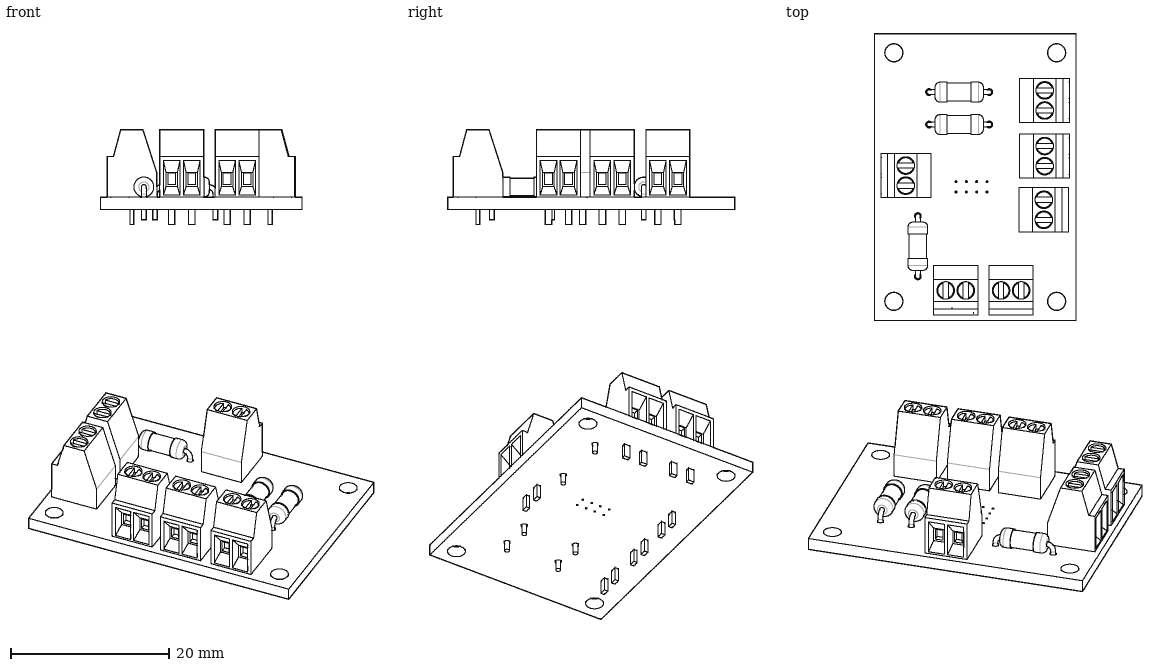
import cadquery as cq

BOARD_WIDTH = 25.5
BOARD_LENGTH = 36.25
BOARD_THICKNESS = 1.6
MOUNT_HOLE_DIAMETER = 2.25
MOUNT_HOLE_INSET_X = 2.45
MOUNT_HOLE_INSET_Y = 2.43
VIA_DIAMETER = 0.2
VIA_PITCH = 1.3
VIA_COLUMNS = 4
VIA_ROWS = 2
VIA_CENTRE = (-0.47, -1.25)

WAY_PITCH = 2.55
WAY_POSITIONS = (-WAY_PITCH / 2, WAY_PITCH / 2)
TERMINAL_WIDTH = 5.6
TERMINAL_DEPTH = 6.27
TERMINAL_HEIGHT = 8.52
TERMINAL_FRONT_Y = -3.1
LEDGE_HEIGHT = 5.15
LEDGE_DEPTH = 0.8
TOP_FRONT_DEPTH = 1.7
TOP_BACK_DEPTH = 4.53
BACK_WALL_HEIGHT = 3.1

FUNNEL_MOUTH_WIDTH = 2.1
FUNNEL_MOUTH_BOTTOM = 0.25
FUNNEL_MOUTH_TOP = 4.6
FUNNEL_END_WIDTH = 1.45
FUNNEL_END_BOTTOM = 1.3
FUNNEL_END_TOP = 3.1
FUNNEL_DEPTH = 1.15
WIRE_HOLE_WIDTH = 0.98
WIRE_HOLE_BOTTOM = 1.55
WIRE_HOLE_TOP = 3.0
WIRE_HOLE_DEPTH = 0.72

SCREW_HOLE_DIAMETER = 2.2
SCREW_DIAMETER = 2.0
SCREW_RECESS = 0.2
SCREW_SLOT_WIDTH = 0.65
SCREW_SLOT_DEPTH = 0.72

PIN_WIDTH = 0.85
PIN_THICKNESS = 0.5
PIN_LENGTH = 3.48

CAP_DIAMETER = 2.5
BARREL_DIAMETER = 2.25
RESISTOR_LENGTH = 6.1
CAP_LENGTH = 1.52
CAP_FILLET = 0.6
AXIS_HEIGHT = 1.27
LEAD_DIAMETER = 0.6
LEAD_HOLE_DIAMETER = 0.8
LEAD_SPAN = 7.6
LEAD_BEND_RADIUS = 0.87
LEAD_LENGTH_BELOW_BOARD = 1.3

EDGE_X = 8.77
TERMINAL_PLACES = [
    (-2.45, -14.32, 0),
    (4.53, -14.32, 0),
    (-EDGE_X, 0.18, -90),
    (EDGE_X, 9.68, 90),
    (EDGE_X, 2.65, 90),
    (EDGE_X - 0.1, -4.15, 90),
]
RESISTOR_PLACES = [
    (-2.03, 10.73, 0),
    (-2.03, 6.65, 0),
    (-7.25, -8.75, 90),
]


def place(shape, spot):
    """Turn a shape about Z and move it to its spot on the board."""
    x, y, turn = spot
    return shape.rotate((0, 0, 0), (0, 0, 1), turn).translate((x, y, 0))


def make_pins():
    """The two flat pins of a terminal, from the underside of its housing downward."""
    return (
        cq.Workplane("XY")
        .pushPoints([(x, 0) for x in WAY_POSITIONS])
        .rect(PIN_WIDTH, PIN_THICKNESS)
        .extrude(-PIN_LENGTH)
    )


def make_housing():
    """The stepped and sloped block of a terminal."""
    front = TERMINAL_FRONT_Y
    back = front + TERMINAL_DEPTH
    outline = [
        (front, 0),
        (front, LEDGE_HEIGHT),
        (front + LEDGE_DEPTH, LEDGE_HEIGHT),
        (front + TOP_FRONT_DEPTH, TERMINAL_HEIGHT),
        (front + TOP_BACK_DEPTH, TERMINAL_HEIGHT),
        (back, BACK_WALL_HEIGHT),
        (back, 0),
    ]
    return cq.Workplane("YZ").polyline(outline).close().extrude(TERMINAL_WIDTH / 2, both=True)


def make_wire_entry(x):
    """The cavity of one wire entry: a tapered funnel and the hole behind it."""
    mouth_height = FUNNEL_MOUTH_TOP - FUNNEL_MOUTH_BOTTOM
    end_height = FUNNEL_END_TOP - FUNNEL_END_BOTTOM
    mouth_middle = (FUNNEL_MOUTH_TOP + FUNNEL_MOUTH_BOTTOM) / 2
    end_middle = (FUNNEL_END_TOP + FUNNEL_END_BOTTOM) / 2
    funnel = (
        cq.Workplane("XZ", origin=(x, TERMINAL_FRONT_Y, mouth_middle))
        .rect(FUNNEL_MOUTH_WIDTH, mouth_height)
        .workplane(offset=-FUNNEL_DEPTH)
        .center(0, end_middle - mouth_middle)
        .rect(FUNNEL_END_WIDTH, end_height)
        .loft()
    )
    hole_middle = (WIRE_HOLE_TOP + WIRE_HOLE_BOTTOM) / 2
    hole = (
        cq.Workplane("XZ", origin=(x, TERMINAL_FRONT_Y + FUNNEL_DEPTH, hole_middle))
        .rect(WIRE_HOLE_WIDTH, WIRE_HOLE_TOP - WIRE_HOLE_BOTTOM)
        .extrude(-WIRE_HOLE_DEPTH)
    )
    return funnel.union(hole)


def make_screw_cut(x):
    """The cavity round one slotted screw head: its hole less the head itself."""
    slot_floor = SCREW_RECESS + SCREW_SLOT_DEPTH
    hole = (
        cq.Workplane("XY", origin=(x, 0, TERMINAL_HEIGHT))
        .circle(SCREW_HOLE_DIAMETER / 2)
        .extrude(-slot_floor)
    )
    head = (
        cq.Workplane("XY", origin=(x, 0, TERMINAL_HEIGHT - slot_floor))
        .circle(SCREW_DIAMETER / 2)
        .extrude(SCREW_SLOT_DEPTH)
    )
    slot = (
        cq.Workplane("XY", origin=(x, 0, TERMINAL_HEIGHT - slot_floor))
        .rect(SCREW_SLOT_WIDTH, SCREW_HOLE_DIAMETER)
        .extrude(SCREW_SLOT_DEPTH)
    )
    return hole.cut(head.cut(slot))


def make_terminal():
    """A two-way screw terminal with its pins, as one solid."""
    terminal = make_housing().union(make_pins())
    for x in WAY_POSITIONS:
        terminal = terminal.cut(make_wire_entry(x)).cut(make_screw_cut(x))
    return terminal


def make_resistor_body():
    """The barrel with a larger, rounded cap at each end."""
    barrel = (
        cq.Workplane("YZ", origin=(0, 0, AXIS_HEIGHT))
        .circle(BARREL_DIAMETER / 2)
        .extrude(RESISTOR_LENGTH / 2 - CAP_LENGTH, both=True)
    )
    cap = (
        cq.Workplane("YZ", origin=(RESISTOR_LENGTH / 2 - CAP_LENGTH, 0, AXIS_HEIGHT))
        .circle(CAP_DIAMETER / 2)
        .extrude(CAP_LENGTH)
        .faces(">X")
        .edges()
        .fillet(CAP_FILLET)
    )
    return barrel.union(cap).union(cap.mirror("YZ"))


def make_lead():
    """The lead at the +X end: out of the cap, round a bend and down through the board."""
    lead_x = LEAD_SPAN / 2
    bend_start_x = lead_x - LEAD_BEND_RADIUS
    inner_x = bend_start_x - LEAD_DIAMETER
    path = (
        cq.Workplane("XZ")
        .moveTo(inner_x, AXIS_HEIGHT)
        .lineTo(bend_start_x, AXIS_HEIGHT)
        .tangentArcPoint((lead_x, AXIS_HEIGHT - LEAD_BEND_RADIUS), relative=False)
        .lineTo(lead_x, -BOARD_THICKNESS - LEAD_LENGTH_BELOW_BOARD)
    )
    return (
        cq.Workplane("YZ", origin=(inner_x, 0, AXIS_HEIGHT))
        .circle(LEAD_DIAMETER / 2)
        .sweep(path)
    )


def make_resistor():
    """A resistor with both of its leads, as one solid."""
    lead = make_lead()
    return make_resistor_body().union(lead).union(lead.mirror("YZ"))


def make_lead_holes():
    """Cutters for the two board holes that a resistor's leads pass through."""
    return (
        cq.Workplane("XY")
        .pushPoints([(-LEAD_SPAN / 2, 0), (LEAD_SPAN / 2, 0)])
        .circle(LEAD_HOLE_DIAMETER / 2)
        .extrude(-BOARD_THICKNESS)
    )


def make_board():
    """The board with mounting holes, vias and a hole for every pin and lead."""
    hole_spacing_x = BOARD_WIDTH - 2 * MOUNT_HOLE_INSET_X
    hole_spacing_y = BOARD_LENGTH - 2 * MOUNT_HOLE_INSET_Y
    board = (
        cq.Workplane("XY")
        .rect(BOARD_WIDTH, BOARD_LENGTH)
        .extrude(-BOARD_THICKNESS)
        .faces(">Z")
        .workplane(origin=(0, 0, 0))
        .rarray(hole_spacing_x, hole_spacing_y, 2, 2)
        .hole(MOUNT_HOLE_DIAMETER)
        .faces(">Z")
        .workplane(origin=(*VIA_CENTRE, 0))
        .rarray(VIA_PITCH, VIA_PITCH, VIA_COLUMNS, VIA_ROWS)
        .hole(VIA_DIAMETER)
    )
    for spot in TERMINAL_PLACES:
        board = board.cut(place(make_pins(), spot))
    for spot in RESISTOR_PLACES:
        board = board.cut(place(make_lead_holes(), spot))
    return board


board = make_board()
terminals = [place(make_terminal(), spot) for spot in TERMINAL_PLACES]
resistors = [place(make_resistor(), spot) for spot in RESISTOR_PLACES]

result = cq.Compound.makeCompound(
    [
        board.val(),
        *[terminal.val() for terminal in terminals],
        *[resistor.val() for resistor in resistors],
    ]
)